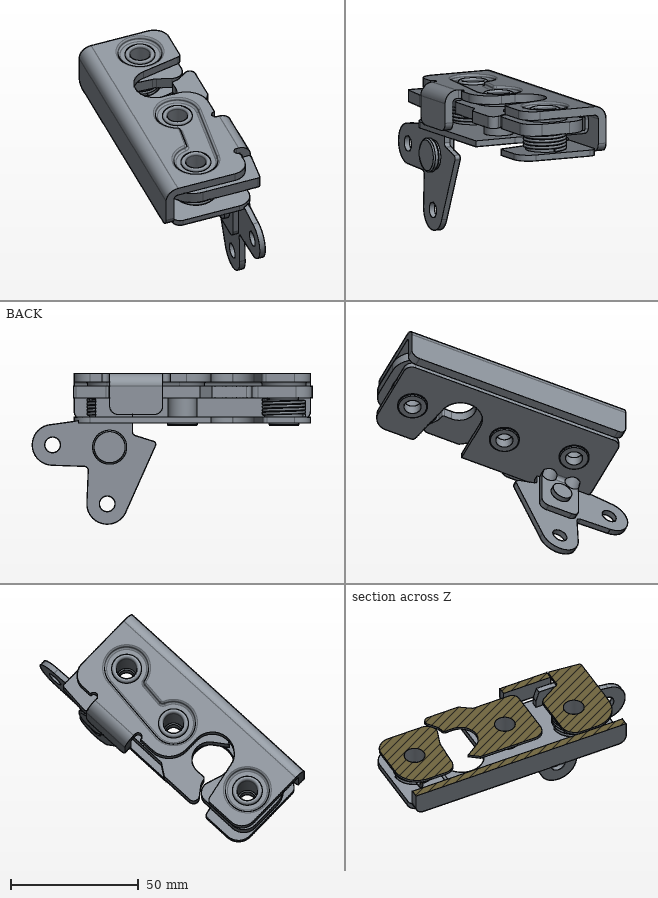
import math

import cadquery as cq


PICK_MARGIN = 0.5

HOUSING_LENGTH = 92.45
HOUSING_DEPTH = 41.0
SHEET = 3.4
BEND_RADIUS = 5.0
FRONT_WALL_HEIGHT = 18.15
TAB_HEIGHT = 16.1
WALL_CORNER_RADIUS = 3.3
PLATE_BACK = 35.3
PLATE_CORNER_RADIUS = 6.3
TAB_LEFT = 57.8
TAB_RIGHT = 78.55
RELIEF_WIDTH = 3.0
RELIEF_BOTTOM = 33.6

MOUTH_TOP_LEFT = 18.7
MOUTH_BOTTOM_LEFT = 23.5
MOUTH_RIGHT = 39.0
MOUTH_BOTTOM = 11.6
MOUTH_RADIUS = 8.4
MOUTH_LIP_RADIUS = 1.5
MOUTH_SHOULDER_RADIUS = 9.5

ROTOR_PIVOT = (10.4, 21.5)
HOOK_PIVOT = (50.1, 21.5)
PAWL_PIVOT = (78.6, 18.0)
PIVOTS = (ROTOR_PIVOT, HOOK_PIVOT, PAWL_PIVOT)
RIVET_DIAMETER = 11.75
RIVET_FOOT_HEIGHT = 1.0
RIVET_FOOT_CHAMFER = 0.4
SLEEVE_DIAMETER = 11.37
BORE_DIAMETER = 7.96
BORE_END_DIAMETER = 6.65
BORE_END_DEPTH = 16.0

DISH_RADIUS = 8.6
DISH_DEPTH = 1.6
DISH_FILLET = 0.78
DISH_WEB_OFFSET = 1.2
DISH_WEB_FILLET = 1.5

ROTOR_TOP = -SHEET - DISH_DEPTH
ROTOR_THICKNESS = 4.65
ROTOR_BOTTOM = ROTOR_TOP - ROTOR_THICKNESS

BASE_TOP = -17.1
BASE_THICKNESS = 2.4
BASE_BOTTOM = BASE_TOP - BASE_THICKNESS
BASE_FRONT = 3.85
BASE_BACK = 37.2
BASE_FRONT_RADIUS = 3.3
FLANGE_LEFT = 70.7
FLANGE_RIGHT = 86.4
FLANGE_BOTTOM = -38.3
FLANGE_RADIUS = 2.9
FLANGE_FRONT = 30.5
FLANGE_BACK = FLANGE_FRONT + BASE_THICKNESS
FLANGE_BEND_RADIUS = 1.5
GUSSET_OFFSET = 5.05
GUSSET_RADIUS = 4.0
GUSSET_REACH = 3.2

LEVER_THICKNESS = 2.35
LEVER_BACK = FLANGE_BACK + LEVER_THICKNESS
LEVER_EYE_RADIUS = 8.0
LEVER_HOLE_DIAMETER = 6.04
LOWER_EYE = (79.5, -51.06)
SIDE_EYE = (100.86, -28.0)
LEVER_PIVOT_X = (FLANGE_LEFT + FLANGE_RIGHT) / 2
LEVER_PIVOT_Z = -28.9
STUB_DIAMETER = 8.06
STUB_HEIGHT = 2.05
KNOB_DIAMETER = 13.34
KNOB_NECK_DIAMETER = 11.75
KNOB_NECK_LENGTH = 0.9
KNOB_RIM_LENGTH = 2.5
KNOB_CHAMFER = 0.6

WIRE_DIAMETER = 1.22
COIL_PITCH = 1.33
COIL_START_ANGLE = 180
COIL_BOTTOM = BASE_TOP + WIRE_DIAMETER / 2
COIL_TOP = -10.4
HOOK_LEG_BOTTOM = -10.75
ROTOR_COIL_RADIUS = 7.9
PAWL_COIL_RADIUS = 8.2
SPRING_CORE_GAP = 0.35
LEG_END_Y = 7.3
LEG_END_FILLET = 0.45
LOWER_LEG_Z = -15.5
HOOK_LEG_X = 5.3
HOOK_LEG_Y = 5.75
HOOK_LEG_TIP_Y = 8.9
HOOK_LEG_TOP = -4.2
HOOK_LEG_BEND = 1.3


def rounded_outline(corners, plane="XY", offset=0.0):
    """Closed wire through (x, y, radius) corners, each rounded by its own radius."""
    spans = []
    for index, (x, y, radius) in enumerate(corners):
        before = corners[index - 1]
        after = corners[(index + 1) % len(corners)]
        corner = cq.Vector(x, y)
        to_before = (cq.Vector(before[0], before[1]) - corner).normalized()
        to_after = (cq.Vector(after[0], after[1]) - corner).normalized()
        half_angle = to_before.getAngle(to_after) / 2
        setback = radius / math.tan(half_angle)
        bisector = (to_before + to_after).normalized()
        middle = corner + bisector * (radius / math.sin(half_angle) - radius)
        spans.append((corner + to_before * setback, middle, corner + to_after * setback, radius))
    path = cq.Workplane(plane).workplane(offset=offset)
    path = path.moveTo(spans[0][2].x, spans[0][2].y)
    for start, middle, end, radius in spans[1:] + spans[:1]:
        path = path.lineTo(start.x, start.y)
        if radius > 0:
            path = path.threePointArc((middle.x, middle.y), (end.x, end.y))
    return path.close()


def plate(corners, bottom, thickness):
    """Flat plate with rounded corners, lying parallel to XY."""
    return rounded_outline(corners, offset=bottom).extrude(thickness)


def cylinder(center, diameter, bottom, top):
    """Upright cylinder between two heights."""
    return cq.Workplane("XY", origin=(*center, bottom)).circle(diameter / 2).extrude(top - bottom)


def mouth_corners(rim_y, shoulder_radius):
    """Corners of the striker mouth, from its right shoulder to its left lip."""
    lean = (MOUTH_TOP_LEFT - MOUTH_BOTTOM_LEFT) / (PLATE_BACK - MOUTH_BOTTOM)
    left_lip = MOUTH_BOTTOM_LEFT + lean * (rim_y - MOUTH_BOTTOM)
    return [
        (MOUTH_RIGHT, rim_y, shoulder_radius),
        (MOUTH_RIGHT, MOUTH_BOTTOM, MOUTH_RADIUS),
        (MOUTH_BOTTOM_LEFT, MOUTH_BOTTOM, MOUTH_RADIUS),
        (left_lip, rim_y, MOUTH_LIP_RADIUS),
    ]


def relief_cut(left):
    """Round-ended relief notch beside the folded tab."""
    radius = RELIEF_WIDTH / 2
    return (
        cq.Workplane("XY")
        .moveTo(left, HOUSING_DEPTH)
        .lineTo(left, RELIEF_BOTTOM + radius)
        .threePointArc(
            (left + radius, RELIEF_BOTTOM),
            (left + RELIEF_WIDTH, RELIEF_BOTTOM + radius),
        )
        .lineTo(left + RELIEF_WIDTH, HOUSING_DEPTH)
        .close()
        .extrude(-SHEET - BEND_RADIUS)
    )


def folded_shell():
    """Channel with the front wall and the back tab, trimmed to the plan outline."""
    inner_radius = BEND_RADIUS - SHEET
    section = [
        (0, -FRONT_WALL_HEIGHT, 0),
        (0, 0, BEND_RADIUS),
        (HOUSING_DEPTH, 0, BEND_RADIUS),
        (HOUSING_DEPTH, -TAB_HEIGHT, 0),
        (HOUSING_DEPTH - SHEET, -TAB_HEIGHT, 0),
        (HOUSING_DEPTH - SHEET, -SHEET, inner_radius),
        (SHEET, -SHEET, inner_radius),
        (SHEET, -FRONT_WALL_HEIGHT, 0),
    ]
    channel = rounded_outline(section, plane="YZ").extrude(HOUSING_LENGTH)
    plan = [
        (0, 0, 0),
        (HOUSING_LENGTH, 0, 0),
        (HOUSING_LENGTH, PLATE_BACK, PLATE_CORNER_RADIUS),
        (TAB_RIGHT, PLATE_BACK, 0),
        (TAB_RIGHT, HOUSING_DEPTH, 0),
        (TAB_LEFT, HOUSING_DEPTH, 0),
        (TAB_LEFT, PLATE_BACK, 0),
        *mouth_corners(PLATE_BACK, MOUTH_SHOULDER_RADIUS),
        (0, PLATE_BACK, PLATE_CORNER_RADIUS),
    ]
    shell = channel.intersect(plate(plan, -FRONT_WALL_HEIGHT, FRONT_WALL_HEIGHT))
    for left in (TAB_LEFT - RELIEF_WIDTH, TAB_RIGHT):
        shell = shell.cut(relief_cut(left))
    for bottom in (-FRONT_WALL_HEIGHT, -TAB_HEIGHT):
        ends = cq.selectors.BoxSelector(
            (-PICK_MARGIN, -PICK_MARGIN, bottom - PICK_MARGIN),
            (HOUSING_LENGTH + PICK_MARGIN, HOUSING_DEPTH + PICK_MARGIN, bottom + PICK_MARGIN),
        )
        shell = shell.edges("|Y").edges(ends).fillet(WALL_CORNER_RADIUS)
    return shell


def round_dish(radius, top, depth):
    """Disc under the rotor's pivot seat."""
    return cylinder(ROTOR_PIVOT, 2 * radius, top - depth, top)


def long_dish(radius, top, depth):
    """Disc around each of the other two pivots, joined by an off-centre web."""
    run = PAWL_PIVOT[0] - HOOK_PIVOT[0]
    fall = PAWL_PIVOT[1] - HOOK_PIVOT[1]
    span = math.hypot(run, fall)
    web_bottom = radius - DISH_RADIUS + DISH_WEB_OFFSET
    web = (
        cq.Workplane("XY")
        .rect(span, radius + web_bottom)
        .extrude(depth)
        .translate((span / 2, (radius - web_bottom) / 2, 0))
        .rotate((0, 0, 0), (0, 0, 1), math.degrees(math.atan2(fall, run)))
        .translate((*HOOK_PIVOT, top - depth))
    )
    for center in (HOOK_PIVOT, PAWL_PIVOT):
        web = web.union(cylinder(center, 2 * radius, top - depth, top))
    below_axis = cq.selectors.BoxSelector(
        (HOOK_PIVOT[0] + PICK_MARGIN, PAWL_PIVOT[1] - radius / 2, top - depth - PICK_MARGIN),
        (PAWL_PIVOT[0] - PICK_MARGIN, HOOK_PIVOT[1], top + PICK_MARGIN),
    )
    return web.edges("|Z").edges(below_axis).fillet(DISH_WEB_FILLET)


def fillet_inner_wires(body, faces, radius):
    """Round every closed edge loop lying inside the given face."""
    edges = []
    for wire in faces.val().innerWires():
        edges.extend(wire.Edges())
    return body.newObject(edges).fillet(radius)


def make_housing():
    """Folded housing with its dished pivot seats."""
    housing = folded_shell()
    for dish in (round_dish, long_dish):
        bump = dish(DISH_RADIUS, -SHEET, DISH_DEPTH)
        housing = housing.union(bump)
    underside = housing.faces("|Z").filter(lambda face: math.isclose(face.Center().z, -SHEET))
    housing = fillet_inner_wires(housing, underside, DISH_FILLET)
    for dish in (round_dish, long_dish):
        pocket = dish(DISH_RADIUS, 0, DISH_DEPTH).faces("<Z").edges().fillet(DISH_FILLET)
        housing = housing.cut(pocket)
    return fillet_inner_wires(housing, housing.faces(">Z"), DISH_FILLET)


def make_rotor():
    """Left rotor with the rounded horn that closes on the hook."""
    return plate(
        [
            (-0.7, 6.9, 9.5),
            (21.5, 6.9, 5.0),
            (22.4, 22.8, 6.0),
            (26.57, 35.0, 4.3),
            (-0.7, 35.0, 6.4),
        ],
        ROTOR_BOTTOM,
        ROTOR_THICKNESS,
    )


def make_hook():
    """Right rotor with the round jaw and the overhanging nose."""
    return plate(
        [
            (29.0, 12.06, 0),
            (37.45, 17.95, 7.0),
            (37.45, 28.65, 6.8),
            (26.8, 28.4, 0.9),
            (26.0, 31.5, 4.0),
            (20.6, 38.9, 2.3),
            (38.6, 38.9, 0),
            (43.3, 35.6, 0),
            (62.0, 35.6, 3.0),
            (62.0, 9.0, 5.0),
            (33.0, 9.0, 0),
        ],
        ROTOR_BOTTOM,
        ROTOR_THICKNESS,
    )


def make_pawl():
    """Pawl whose heel stands clear of the housing beside the tab."""
    return plate(
        [
            (78.8, 40.95, 1.0),
            (92.7, 39.5, 1.0),
            (92.7, 3.9, 11.5),
            (69.0, 3.9, 6.0),
            (69.0, 27.0, 3.0),
            (78.8, 33.0, 0),
        ],
        ROTOR_BOTTOM,
        ROTOR_THICKNESS,
    )


def make_gusset(center_x):
    """Pressed gusset: a cylinder at 45 degrees across the inside of the flange bend."""
    axis_z = BASE_BOTTOM - GUSSET_REACH + GUSSET_RADIUS * math.sqrt(2)
    axis_origin = (center_x, FLANGE_FRONT, axis_z)
    slope = cq.Plane(origin=axis_origin, xDir=(1, 0, 0), normal=(0, 1, -1))
    rod = cq.Workplane(slope).circle(GUSSET_RADIUS).extrude(3 * GUSSET_RADIUS, both=True)
    corner = cq.Workplane("XY").box(
        FLANGE_RIGHT - FLANGE_LEFT,
        2 * GUSSET_REACH,
        2 * GUSSET_REACH,
        centered=(True, False, False),
    ).translate((LEVER_PIVOT_X, FLANGE_BACK - 2 * GUSSET_REACH, BASE_TOP - 2 * GUSSET_REACH))
    return rod.intersect(corner)


def make_base():
    """Base plate with the striker mouth and the gusseted flange."""
    base = plate(
        [
            (0, BASE_FRONT, BASE_FRONT_RADIUS),
            (HOUSING_LENGTH, BASE_FRONT, BASE_FRONT_RADIUS),
            (HOUSING_LENGTH, BASE_BACK, PLATE_CORNER_RADIUS),
            *mouth_corners(BASE_BACK, 0),
            (0, BASE_BACK, PLATE_CORNER_RADIUS),
        ],
        BASE_BOTTOM,
        BASE_THICKNESS,
    )
    flange = (
        cq.Workplane("XY")
        .box(FLANGE_RIGHT - FLANGE_LEFT, BASE_THICKNESS, BASE_TOP - FLANGE_BOTTOM, centered=False)
        .translate((FLANGE_LEFT, FLANGE_FRONT, FLANGE_BOTTOM))
        .edges("|Y and <Z")
        .fillet(FLANGE_RADIUS)
    )
    bend = cq.selectors.BoxSelector(
        (FLANGE_LEFT, FLANGE_FRONT - PICK_MARGIN, BASE_BOTTOM - PICK_MARGIN),
        (FLANGE_RIGHT, FLANGE_FRONT + PICK_MARGIN, BASE_BOTTOM + PICK_MARGIN),
    )
    base = base.union(flange).edges("|X").edges(bend).fillet(FLANGE_BEND_RADIUS)
    for side in (-1, 1):
        base = base.union(make_gusset(LEVER_PIVOT_X + side * GUSSET_OFFSET))
    return base


def make_lever():
    """Two-armed trip lever whose finger reaches up to the pawl; discs round its arm ends."""
    body = rounded_outline(
        [
            (69.6, -24.0, 1.6),
            (60.0, -27.0, 1.3),
            (72.3, -54.5, 0),
            (*LOWER_EYE, 0),
            (LOWER_EYE[0] + LEVER_EYE_RADIUS, LOWER_EYE[1], 0),
            (86.9, -36.5, 1.5),
            (101.3, -36.0, 0),
            (*SIDE_EYE, 0),
            (102.3, -20.15, 0),
            (84.0, -17.6, 0),
            (84.0, ROTOR_BOTTOM, 0),
            (71.0, ROTOR_BOTTOM, 0),
            (69.6, -13.9, 0),
        ],
        plane="XZ",
        offset=-LEVER_BACK,
    ).extrude(LEVER_THICKNESS)
    eyes = cq.Workplane("XZ", origin=(0, LEVER_BACK, 0)).pushPoints([LOWER_EYE, SIDE_EYE])
    body = body.union(eyes.circle(LEVER_EYE_RADIUS).extrude(LEVER_THICKNESS))
    return body.cut(eyes.circle(LEVER_HOLE_DIAMETER / 2).extrude(LEVER_THICKNESS))


def make_lever_pin():
    """Riveted lever pin: a stub in front of the flange and a knob behind the lever."""
    front = cq.Workplane("XZ", origin=(LEVER_PIVOT_X, FLANGE_BACK, LEVER_PIVOT_Z))
    stub = front.circle(STUB_DIAMETER / 2).extrude(BASE_THICKNESS + STUB_HEIGHT)
    back = cq.Workplane("XZ", origin=(LEVER_PIVOT_X, LEVER_BACK, LEVER_PIVOT_Z))
    neck = back.circle(KNOB_NECK_DIAMETER / 2).extrude(-KNOB_NECK_LENGTH)
    rim = (
        back.workplane(offset=-KNOB_NECK_LENGTH)
        .circle(KNOB_DIAMETER / 2)
        .extrude(-KNOB_RIM_LENGTH)
        .edges()
        .chamfer(KNOB_CHAMFER)
    )
    return stub.union(neck).union(rim)


def make_pivot(center):
    """Tubular rivet: beaded head in the dish, sleeve and foot under the base."""
    head_radius = RIVET_DIAMETER / 2
    bore_radius = BORE_DIAMETER / 2
    bead_radius = (head_radius - bore_radius) / 2
    foot_bottom = BASE_BOTTOM - RIVET_FOOT_HEIGHT
    bead = (
        cq.Workplane("XZ", origin=(*center, -DISH_DEPTH))
        .moveTo(bore_radius, 0)
        .threePointArc((bore_radius + bead_radius, bead_radius), (head_radius, 0))
        .close()
        .revolve(360, (0, 0, 0), (0, 1, 0))
    )
    sleeve = cylinder(center, SLEEVE_DIAMETER, BASE_BOTTOM, -DISH_DEPTH)
    foot = cylinder(center, RIVET_DIAMETER, foot_bottom, BASE_BOTTOM)
    foot = foot.faces("<Z").edges().chamfer(RIVET_FOOT_CHAMFER)
    return bead.union(sleeve).union(foot)


def cut_bore(body, center):
    """Bore with a narrower lower end, open through the whole stack."""
    body = body.cut(cylinder(center, BORE_DIAMETER, -BORE_END_DEPTH, 0))
    lower = BASE_BOTTOM - RIVET_FOOT_HEIGHT
    return body.cut(cylinder(center, BORE_END_DIAMETER, lower, -BORE_END_DEPTH))


def make_coil(center, radius):
    """Close-wound torsion coil on a solid core."""
    path = cq.Wire.makeHelix(COIL_PITCH, COIL_TOP - COIL_BOTTOM, radius)
    wire = (
        cq.Workplane("XZ", origin=(radius, 0, 0))
        .circle(WIRE_DIAMETER / 2)
        .sweep(cq.Workplane(obj=path), isFrenet=True)
        .rotate((0, 0, 0), (0, 0, 1), COIL_START_ANGLE)
        .translate((*center, COIL_BOTTOM))
    )
    core = cylinder(center, 2 * (radius - SPRING_CORE_GAP), BASE_TOP, COIL_TOP)
    return core.union(wire)


def make_spring_legs():
    """Straight lower leg and the upper leg hooked around the left rotor."""
    lower_leg = (
        cq.Workplane("XZ", origin=(ROTOR_PIVOT[0] + ROTOR_COIL_RADIUS, LEG_END_Y, LOWER_LEG_Z))
        .circle(WIRE_DIAMETER / 2)
        .extrude(LEG_END_Y - ROTOR_PIVOT[1])
        .faces("<Y")
        .edges()
        .fillet(LEG_END_FILLET)
    )
    bend_start = HOOK_LEG_Y + HOOK_LEG_BEND
    bend_sag = HOOK_LEG_BEND * (1 - math.sqrt(0.5))
    path = (
        cq.Workplane("YZ", origin=(HOOK_LEG_X, 0, 0))
        .moveTo(ROTOR_PIVOT[1], HOOK_LEG_BOTTOM)
        .lineTo(bend_start, HOOK_LEG_BOTTOM)
        .threePointArc(
            (HOOK_LEG_Y + bend_sag, HOOK_LEG_BOTTOM + bend_sag),
            (HOOK_LEG_Y, HOOK_LEG_BOTTOM + HOOK_LEG_BEND),
        )
        .lineTo(HOOK_LEG_Y, HOOK_LEG_TOP - HOOK_LEG_BEND)
        .threePointArc(
            (HOOK_LEG_Y + bend_sag, HOOK_LEG_TOP - bend_sag),
            (bend_start, HOOK_LEG_TOP),
        )
        .lineTo(HOOK_LEG_TIP_Y, HOOK_LEG_TOP)
    )
    hook_leg = (
        cq.Workplane("XZ", origin=(HOOK_LEG_X, ROTOR_PIVOT[1], HOOK_LEG_BOTTOM))
        .circle(WIRE_DIAMETER / 2)
        .sweep(path)
    )
    return lower_leg.union(hook_leg)


def make_latch():
    """Whole latch fused into one body, then bored at its pivots."""
    body = make_housing()
    for make_section in (make_rotor, make_hook, make_pawl, make_base, make_lever, make_lever_pin):
        body = body.union(make_section())
    for center in PIVOTS:
        body = body.union(make_pivot(center))
    body = body.union(make_coil(ROTOR_PIVOT, ROTOR_COIL_RADIUS))
    body = body.union(make_coil(PAWL_PIVOT, PAWL_COIL_RADIUS))
    body = body.union(make_spring_legs())
    for center in PIVOTS:
        body = cut_bore(body, center)
    return body


result = make_latch()